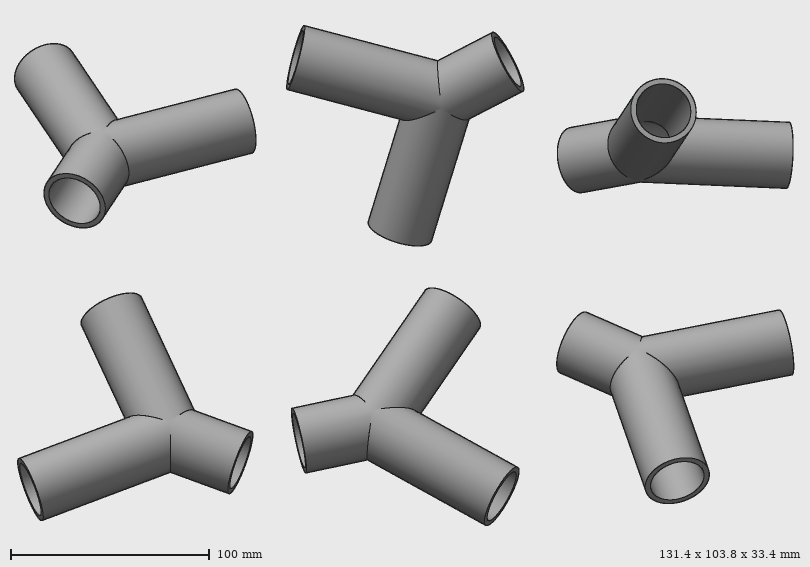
import cadquery as cq
import math

outer_diameter = 33.4
inner_diameter = 27.86

leg_length = 38.1
arm_length = 2 * leg_length

leg_heading = -90
arm_headings = (45, 135)


def branch_cylinder(diameter, length, heading):
    """Cylinder from the junction at the origin along a heading in the XY plane."""
    angle = math.radians(heading)
    direction = cq.Vector(math.cos(angle), math.sin(angle), 0)
    return cq.Workplane(
        obj=cq.Solid.makeCylinder(diameter / 2, length, cq.Vector(0, 0, 0), direction)
    )


def wye(diameter):
    """Leg and both arms of one diameter, joined at the junction."""
    body = branch_cylinder(diameter, leg_length, leg_heading)
    for heading in arm_headings:
        body = body.union(branch_cylinder(diameter, arm_length, heading))
    return body


result = wye(outer_diameter).cut(wye(inner_diameter))